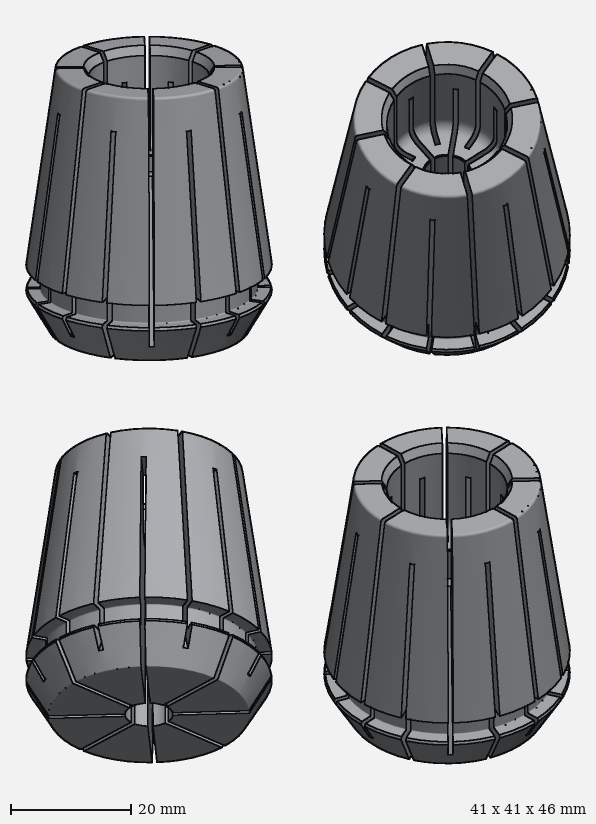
import cadquery as cq
import math

height = 46
outer_width = 41.0
slit_width = 0.85

taper_base_z = 11.1
taper_angle = 8
rim_fillet = 0.5

groove_radius = 18.12
groove_base_z = 7.1
groove_fillet = 0.2
lip_radius = 20.3
lip_base_z = 6.6
nose_angle = 30
nose_fillet = 0.2

clamp_bore_radius = 4.0
clamp_bore_chamfer = 0.2
relief_radius = 10.05
relief_floor_z = 29
relief_fillet = 2.0
relief_chamfer_width = 0.87
relief_chamfer_depth = 1.5

slits_per_end = 8
lower_slit_top_z = 39.97
upper_slit_nose_z = 3.1
upper_slit_floor_angle = 65
cutter_overrun = 0.45

outer_radius = math.hypot(outer_width / 2, slit_width / 2)
slit_pitch = 360 / slits_per_end
taper_top_radius = outer_radius - (height - taper_base_z) * math.tan(math.radians(taper_angle))
nose_slope = math.tan(math.radians(nose_angle))
nose_base_radius = outer_radius - lip_base_z * nose_slope


def revolve_profile(profile):
    """Turn an outline drawn in the XZ plane about the Z axis."""
    return profile.close().revolve(360, (0, 0, 0), (0, 1, 0))


def outer_body():
    profile = (
        cq.Workplane("XZ")
        .lineTo(nose_base_radius, 0)
        .lineTo(outer_radius, lip_base_z)
        .lineTo(lip_radius, groove_base_z)
        .lineTo(groove_radius, groove_base_z)
        .lineTo(groove_radius, taper_base_z)
        .lineTo(outer_radius, taper_base_z)
        .lineTo(taper_top_radius, height)
        .lineTo(0, height)
    )
    body = revolve_profile(profile)
    body = body.faces(">Z").edges().fillet(rim_fillet)
    body = body.faces("<Z").edges().fillet(nose_fillet)
    groove_wall = body.faces("%CYLINDER")
    return groove_wall.edges("%CIRCLE").fillet(groove_fillet)


def stepped_bore():
    """Narrow clamping bore below a wider relief with a rounded floor and a flared mouth."""
    fillet_bend = relief_fillet * math.cos(math.radians(45))
    fillet_center_r = relief_radius - relief_fillet
    fillet_center_z = relief_floor_z + relief_fillet
    profile = (
        cq.Workplane("XZ")
        .lineTo(clamp_bore_radius, 0)
        .lineTo(clamp_bore_radius, relief_floor_z - clamp_bore_chamfer)
        .lineTo(clamp_bore_radius + clamp_bore_chamfer, relief_floor_z)
        .lineTo(fillet_center_r, relief_floor_z)
        .threePointArc(
            (fillet_center_r + fillet_bend, fillet_center_z - fillet_bend),
            (relief_radius, fillet_center_z),
        )
        .lineTo(relief_radius, height - relief_chamfer_depth)
        .lineTo(relief_radius + relief_chamfer_width, height)
        .lineTo(0, height)
    )
    return revolve_profile(profile)


def radial_slit(outline):
    """Give an outline in the XZ plane the slit width, centred on that plane."""
    return outline.close().extrude(slit_width / 2, both=True)


def lower_slit():
    """Slit open at the nose, stopping below the rim."""
    overrun_radius = outer_radius + cutter_overrun
    outline = (
        cq.Workplane("XZ")
        .lineTo(overrun_radius, 0)
        .lineTo(overrun_radius, lower_slit_top_z)
        .lineTo(0, lower_slit_top_z)
    )
    return radial_slit(outline)


def upper_slit():
    """Slit open at the rim, its floor sloping down to the nose cone."""
    nose_exit_radius = nose_base_radius + upper_slit_nose_z * nose_slope
    floor_slope = math.tan(math.radians(upper_slit_floor_angle))
    overrun_radius = outer_radius + cutter_overrun
    overrun_z = upper_slit_nose_z - (overrun_radius - nose_exit_radius) * floor_slope
    inner_z = upper_slit_nose_z + nose_exit_radius * floor_slope
    outline = (
        cq.Workplane("XZ")
        .moveTo(0, inner_z)
        .lineTo(overrun_radius, overrun_z)
        .lineTo(overrun_radius, height)
        .lineTo(0, height)
    )
    return radial_slit(outline)


def around_axis(cutter, start_angle):
    """Copies of a cutter at equal steps around the Z axis."""
    return [
        cutter.rotate((0, 0, 0), (0, 0, 1), start_angle + i * slit_pitch)
        for i in range(slits_per_end)
    ]


result = outer_body().cut(stepped_bore())
for slit in around_axis(lower_slit(), 0) + around_axis(upper_slit(), slit_pitch / 2):
    result = result.cut(slit)